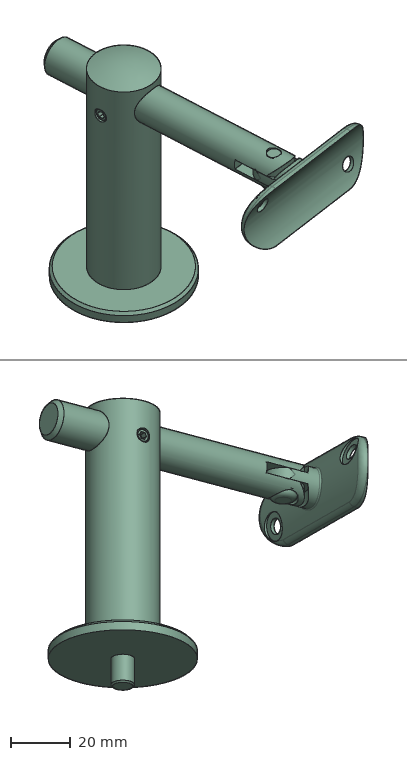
import cadquery as cq
import math

OVERALL_LENGTH = 112.1

POST_DIAMETER = 25.0
POST_RIM_Z = 89.4
DOME_HEIGHT = 2.5
FLANGE_DIAMETER = 50.0
FLANGE_THICKNESS = 4.0
FLANGE_CHAMFER = 1.0

STUD_DIAMETER = 8.0
STUD_PROJECTION = 10.0
STUD_ENGAGEMENT = 10.0
STUD_TOP_Z = FLANGE_THICKNESS + STUD_ENGAGEMENT
STUD_CHAMFER = 0.6

ARM_DIAMETER = 14.0
ARM_RADIUS = ARM_DIAMETER / 2
ARM_Z = 80.0
ARM_BACK_X = -30.0
ARM_CHAMFER = 1.5

HINGE_X = 65.0
FORK_END_RADIUS = 7.1
SLOT_WIDTH = 4.0
SLOT_START_X = 53.7
SHOULDER_RADIUS = 8.5

SHANK_DIAMETER = 5.0
SHANK_TOP_DROP = 0.7
HEAD_DIAMETER = 9.5
HEAD_HEIGHT = 2.7
HEAD_FILLET = 2.0
COUNTERBORE_DIAMETER = 10.0

SET_SCREW_DIAMETER = 5.0
SET_SCREW_DROP = 3.0
SET_SCREW_RECESS = 0.5
SET_SCREW_CHAMFER = 0.5
SOCKET_FLATS = 2.5
SOCKET_DEPTH = 2.5

SADDLE_LENGTH = 63.0
SADDLE_HEIGHT = 25.0
SADDLE_STRAIGHT_LENGTH = 39.3
SADDLE_THICKNESS = 2.5
SADDLE_FILLET = 2.4
RAIL_RADIUS = 21.2
SADDLE_OUTER_RADIUS = RAIL_RADIUS + SADDLE_THICKNESS
SADDLE_TIP_X = ARM_BACK_X + OVERALL_LENGTH
RAIL_X = SADDLE_TIP_X + math.sqrt(RAIL_RADIUS**2 - (SADDLE_HEIGHT / 2) ** 2)
SADDLE_FRONT_X = RAIL_X - SADDLE_OUTER_RADIUS

JOINT_FILLET = 0.5
JOINT_MARGIN = 0.1

FIXING_Y = 22.5
FIXING_RISE = 5.9
FIXING_HOLE_DIAMETER = 5.5
FIXING_RECESS_DIAMETER = 10.0
FIXING_RECESS_DEPTH = 1.0


def upright_cylinder(diameter, bottom_z, top_z, x=0.0):
    """Cylinder along Z."""
    return cq.Workplane(origin=(x, 0, bottom_z)).circle(diameter / 2).extrude(top_z - bottom_z)


def lengthwise_cylinder(diameter, start_x, end_x):
    """Cylinder along X, on the arm axis."""
    return cq.Workplane("YZ", origin=(start_x, 0, ARM_Z)).circle(diameter / 2).extrude(end_x - start_x)


def set_screw_plane(y):
    """Plane across the set screw axis, facing into the post."""
    return cq.Workplane(cq.Plane((0, y, ARM_Z - SET_SCREW_DROP), xDir=(1, 0, 0), normal=(0, 1, 0)))


def set_screw_cylinder(start_y, end_y):
    """Cylinder along Y, on the set screw axis."""
    return set_screw_plane(start_y).circle(SET_SCREW_DIAMETER / 2).extrude(end_y - start_y)


def rail_cylinder(radius):
    """Cylinder along Y, on the handrail axis."""
    plane = cq.Workplane("XZ", origin=(RAIL_X, 0, ARM_Z))
    return plane.circle(radius).extrude(SADDLE_LENGTH, both=True)


def slot_block(start_x, end_x):
    """Flat block across the arm that fills the hinge slot."""
    block = cq.Workplane().box(end_x - start_x, 2 * ARM_DIAMETER, SLOT_WIDTH, centered=(False, True, True))
    return block.translate((start_x, 0, ARM_Z))


def make_post():
    """Domed post with holes for the arm, the stud and the set screw."""
    post_radius = POST_DIAMETER / 2
    dome_radius = (post_radius**2 + DOME_HEIGHT**2) / (2 * DOME_HEIGHT)
    half_angle = math.asin(post_radius / dome_radius) / 2
    dome_top_z = POST_RIM_Z + DOME_HEIGHT
    dome_middle = (
        dome_radius * math.sin(half_angle),
        dome_top_z - dome_radius * (1 - math.cos(half_angle)),
    )
    post = (
        cq.Workplane("XZ")
        .moveTo(0, FLANGE_THICKNESS)
        .lineTo(post_radius, FLANGE_THICKNESS)
        .lineTo(post_radius, POST_RIM_Z)
        .threePointArc(dome_middle, (0, dome_top_z))
        .close()
        .revolve(360, (0, 0), (0, 1))
    )
    arm_hole = lengthwise_cylinder(ARM_DIAMETER, -POST_DIAMETER, POST_DIAMETER)
    stud_hole = upright_cylinder(STUD_DIAMETER, FLANGE_THICKNESS, STUD_TOP_Z)
    return post.cut(arm_hole).cut(stud_hole).cut(set_screw_cylinder(-POST_DIAMETER, 0))


def make_flange():
    flange = upright_cylinder(FLANGE_DIAMETER, 0, FLANGE_THICKNESS).faces(">Z").chamfer(FLANGE_CHAMFER)
    return flange.cut(upright_cylinder(STUD_DIAMETER, 0, FLANGE_THICKNESS))


def make_stud():
    stud = upright_cylinder(STUD_DIAMETER, -STUD_PROJECTION, STUD_TOP_Z)
    return stud.faces("<Z").chamfer(STUD_CHAMFER)


def make_set_screw():
    outer_y = SET_SCREW_RECESS - POST_DIAMETER / 2
    screw = set_screw_cylinder(outer_y, -ARM_RADIUS).faces("<Y").chamfer(SET_SCREW_CHAMFER)
    socket_corners = SOCKET_FLATS / math.cos(math.pi / 6)
    socket = set_screw_plane(outer_y).polygon(6, socket_corners).extrude(SOCKET_DEPTH)
    return screw.cut(socket)


def make_arm():
    """Round bar that ends in a rounded fork."""
    arm = lengthwise_cylinder(ARM_DIAMETER, ARM_BACK_X, HINGE_X).faces("<X").chamfer(ARM_CHAMFER)
    fork_tip = lengthwise_cylinder(ARM_DIAMETER, HINGE_X, HINGE_X + ARM_DIAMETER).intersect(
        upright_cylinder(2 * FORK_END_RADIUS, 0, 2 * ARM_Z, HINGE_X)
    )
    slot = slot_block(SLOT_START_X, HINGE_X + ARM_DIAMETER)
    arm_bottom_z = ARM_Z - ARM_RADIUS
    shank_hole = upright_cylinder(SHANK_DIAMETER, arm_bottom_z, ARM_Z + ARM_RADIUS, HINGE_X)
    counterbore = upright_cylinder(COUNTERBORE_DIAMETER, arm_bottom_z, arm_bottom_z + HEAD_HEIGHT, HINGE_X)
    return arm.union(fork_tip).cut(slot).cut(shank_hole).cut(counterbore)


def make_hinge_screw():
    head_bottom_z = ARM_Z - ARM_RADIUS
    head_top_z = head_bottom_z + HEAD_HEIGHT
    head = upright_cylinder(HEAD_DIAMETER, head_bottom_z, head_top_z, HINGE_X)
    head = head.faces("<Z").edges().fillet(HEAD_FILLET)
    shank = upright_cylinder(SHANK_DIAMETER, head_top_z, ARM_Z + ARM_RADIUS - SHANK_TOP_DROP, HINGE_X)
    return head.union(shank)


def saddle_plate():
    """Rounded plate, curved like the handrail, with its outer edge filleted."""
    half_length = SADDLE_LENGTH / 2
    half_height = SADDLE_HEIGHT / 2
    half_straight = SADDLE_STRAIGHT_LENGTH / 2
    outline = (
        cq.Workplane("YZ", origin=(SADDLE_FRONT_X, 0, ARM_Z))
        .moveTo(-half_straight, -half_height)
        .lineTo(half_straight, -half_height)
        .threePointArc((half_length, 0), (half_straight, half_height))
        .lineTo(-half_straight, half_height)
        .threePointArc((-half_length, 0), (-half_straight, -half_height))
        .close()
        .extrude(SADDLE_OUTER_RADIUS)
    )
    plate = outline.intersect(rail_cylinder(SADDLE_OUTER_RADIUS))
    outer_face = plate.faces(cq.selectors.NearestToPointSelector((SADDLE_FRONT_X, 0, ARM_Z)))
    return outer_face.edges().fillet(SADDLE_FILLET).cut(rail_cylinder(RAIL_RADIUS))


def add_neck(plate):
    """Round neck on the plate, with a small fillet along the joint."""
    neck = lengthwise_cylinder(ARM_DIAMETER, HINGE_X, RAIL_X).cut(rail_cylinder(SADDLE_OUTER_RADIUS))
    joint_end_x = RAIL_X - math.sqrt(SADDLE_OUTER_RADIUS**2 - ARM_RADIUS**2)
    joint_box = cq.selectors.BoxSelector(
        (SADDLE_FRONT_X - JOINT_MARGIN, -ARM_DIAMETER, ARM_Z - ARM_DIAMETER),
        (joint_end_x + JOINT_MARGIN, ARM_DIAMETER, ARM_Z + ARM_DIAMETER),
        boundingbox=True,
    )
    return plate.union(neck).edges(joint_box).fillet(JOINT_FILLET)


def make_saddle():
    """Handrail plate, neck and hinge tongue in one piece."""
    saddle = add_neck(saddle_plate())
    eye = lengthwise_cylinder(ARM_DIAMETER, SLOT_START_X, HINGE_X).intersect(
        upright_cylinder(ARM_DIAMETER, 0, 2 * ARM_Z, HINGE_X)
    )
    fork_space = upright_cylinder(2 * SHOULDER_RADIUS, 0, 2 * ARM_Z, HINGE_X).cut(
        slot_block(SLOT_START_X, HINGE_X + ARM_DIAMETER)
    )
    shank_hole = upright_cylinder(SHANK_DIAMETER, 0, 2 * ARM_Z, HINGE_X)
    saddle = saddle.union(eye).cut(fork_space).cut(shank_hole)
    for side in (-1, 1):
        saddle = cut_fixing_hole(saddle, side * FIXING_Y, -side * FIXING_RISE)
    return saddle


def cut_fixing_hole(saddle, y, rise):
    """Radial hole with a flat round recess in the outer face."""
    angle = math.asin(rise / SADDLE_OUTER_RADIUS)
    inward = (math.cos(angle), 0, -math.sin(angle))
    axis_plane = cq.Plane((RAIL_X, y, ARM_Z), xDir=(0, 1, 0), normal=inward)
    hole = (
        cq.Workplane(axis_plane)
        .workplane(offset=-2 * SADDLE_OUTER_RADIUS)
        .circle(FIXING_HOLE_DIAMETER / 2)
        .extrude(2 * SADDLE_OUTER_RADIUS)
    )
    recess = (
        cq.Workplane(axis_plane)
        .workplane(offset=FIXING_RECESS_DEPTH - SADDLE_OUTER_RADIUS)
        .circle(FIXING_RECESS_DIAMETER / 2)
        .extrude(-SADDLE_THICKNESS)
    )
    return saddle.cut(hole).cut(recess)


post = make_post()
flange = make_flange()
stud = make_stud()
set_screw = make_set_screw()
arm = make_arm()
hinge_screw = make_hinge_screw()
saddle = make_saddle()

result = cq.Compound.makeCompound(
    [
        post.val(),
        flange.val(),
        stud.val(),
        set_screw.val(),
        arm.val(),
        hinge_screw.val(),
        saddle.val(),
    ]
)